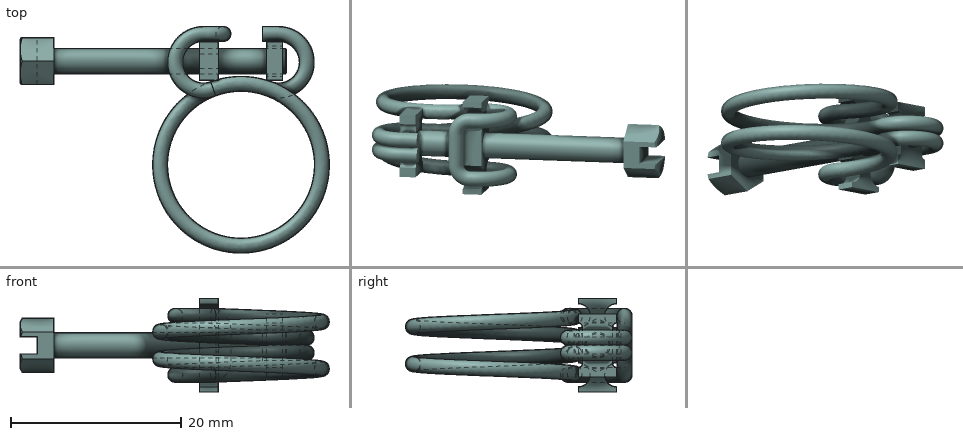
import cadquery as cq
import math


WIRE_RADIUS = 0.88
RING_RADIUS = 9.5
HOOK_RADIUS = 3.32
HOOK_Y = 12.04
INNER_HOOK_Z = 0.89
OUTER_HOOK_Z = 3.47
HOOK_X = math.sqrt((RING_RADIUS + HOOK_RADIUS) ** 2 - HOOK_Y ** 2)
JOINT_ANGLE = math.degrees(math.atan2(HOOK_Y, HOOK_X))
FREE_END_X = 2.5
CROSSBAR_X = -2.07
ELBOW_RADIUS = 1.65

SCREW_Y = 12.17
SHANK_RADIUS = 1.5
HEAD_START_X = -25.94
HEAD_LENGTH = 3.95
SCREW_END_X = 5.36
TIP_CHAMFER = 0.15
HEAD_ACROSS_FLATS = 5.5
HEAD_FACE_RADIUS = HEAD_ACROSS_FLATS / 2
HEAD_CHAMFER_ANGLE = 30
SLOT_WIDTH = 2.0
SLOT_DEPTH = 2.0

BAR_HALF_WIDTH = 2.25
SLIDE_BAR_X = (-4.89, -2.65)
SLIDE_BAR_HALF_HEIGHT = 5.5
SLIDE_NOTCH_RADIUS = 1.4
NUT_BAR_X = (3.0, 4.9)
NUT_BAR_HALF_HEIGHT = 3.7
NUT_NOTCH_HALF_HEIGHT = 2.6
NUT_NOTCH_DEPTH = 0.47


def polar(center, radius, angle, z):
    """Point on a circle that lies level at height z."""
    a = math.radians(angle)
    return cq.Vector(center[0] + radius * math.cos(a), center[1] + radius * math.sin(a), z)


def hook_arc(center_x, start_angle, end_angle, z):
    center = (center_x, HOOK_Y)
    middle_angle = (start_angle + end_angle) / 2
    return cq.Edge.makeThreePointArc(
        polar(center, HOOK_RADIUS, start_angle, z),
        polar(center, HOOK_RADIUS, middle_angle, z),
        polar(center, HOOK_RADIUS, end_angle, z),
    )


def sweep_wire(path, start, direction, is_frenet=True):
    """Round wire along a path; its first section is square to the given direction."""
    section = cq.Workplane(cq.Plane(start, normal=direction)).circle(WIRE_RADIUS)
    return section.sweep(cq.Workplane(path), isFrenet=is_frenet)


def make_coil():
    """Upper ring of just over one turn, with its inner hook and free end."""
    turn = 360 + 180 - 2 * JOINT_ANGLE
    rise = OUTER_HOOK_Z - INNER_HOOK_Z
    helix = cq.Wire.makeHelix(rise * 360 / turn, rise, RING_RADIUS)
    helix = helix.rotate(cq.Vector(0, 0, 0), cq.Vector(0, 0, 1), JOINT_ANGLE)
    helix = helix.translate(cq.Vector(0, 0, INNER_HOOK_Z))
    joint = polar((0, 0), RING_RADIUS, JOINT_ANGLE, INNER_HOOK_Z)
    tangent = polar((0, 0), 1, JOINT_ANGLE + 90, 0)
    ring = sweep_wire(helix, joint, tangent)

    arc = hook_arc(HOOK_X, JOINT_ANGLE - 180, 90, INNER_HOOK_Z)
    free_end = cq.Vector(FREE_END_X, HOOK_Y + HOOK_RADIUS, INNER_HOOK_Z)
    tail = cq.Edge.makeLine(arc.endPoint(), free_end)
    hook = sweep_wire(cq.Wire.assembleEdges([arc, tail]), joint, tangent * -1)
    return ring.union(hook)


def make_end_loop():
    """Both outer hooks and the crossbar that joins them, as one bent wire."""
    top_y = HOOK_Y + HOOK_RADIUS
    elbow_x = CROSSBAR_X - ELBOW_RADIUS
    elbow_z = OUTER_HOOK_Z - ELBOW_RADIUS
    elbow_mid = ELBOW_RADIUS * math.sin(math.radians(45))

    upper_arc = hook_arc(-HOOK_X, 360 - JOINT_ANGLE, 90, OUTER_HOOK_Z)
    lower_arc = hook_arc(-HOOK_X, 90, 360 - JOINT_ANGLE, -OUTER_HOOK_Z)
    upper_elbow = cq.Edge.makeThreePointArc(
        cq.Vector(elbow_x, top_y, OUTER_HOOK_Z),
        cq.Vector(elbow_x + elbow_mid, top_y, elbow_z + elbow_mid),
        cq.Vector(CROSSBAR_X, top_y, elbow_z),
    )
    lower_elbow = cq.Edge.makeThreePointArc(
        cq.Vector(CROSSBAR_X, top_y, -elbow_z),
        cq.Vector(elbow_x + elbow_mid, top_y, -elbow_z - elbow_mid),
        cq.Vector(elbow_x, top_y, -OUTER_HOOK_Z),
    )
    path = cq.Wire.assembleEdges([
        upper_arc,
        cq.Edge.makeLine(upper_arc.endPoint(), upper_elbow.startPoint()),
        upper_elbow,
        cq.Edge.makeLine(upper_elbow.endPoint(), lower_elbow.startPoint()),
        lower_elbow,
        cq.Edge.makeLine(lower_elbow.endPoint(), lower_arc.startPoint()),
        lower_arc,
    ])
    return sweep_wire(path, upper_arc.startPoint(), upper_arc.tangentAt(0), is_frenet=False)


def along_screw(x):
    """Workplane square to the screw at x: local x is +Y, local y is +Z."""
    return cq.Workplane("YZ", origin=(x, SCREW_Y, 0))


def make_screw():
    corner_radius = HEAD_ACROSS_FLATS / math.sqrt(3)
    head_end_x = HEAD_START_X + HEAD_LENGTH
    head = along_screw(HEAD_START_X).polygon(6, 2 * corner_radius).extrude(HEAD_LENGTH)
    head = head.rotate((0, SCREW_Y, 0), (1, SCREW_Y, 0), 90)

    cone_radius = HEAD_FACE_RADIUS + HEAD_LENGTH / math.tan(math.radians(HEAD_CHAMFER_ANGLE))
    cone = cq.Workplane(cq.Solid.makeCone(
        HEAD_FACE_RADIUS, cone_radius, HEAD_LENGTH,
        cq.Vector(HEAD_START_X, SCREW_Y, 0), cq.Vector(1, 0, 0),
    ))
    head = head.intersect(cone)
    slot = along_screw(HEAD_START_X).rect(4 * corner_radius, SLOT_WIDTH).extrude(SLOT_DEPTH)

    shank = along_screw(head_end_x).circle(SHANK_RADIUS).extrude(SCREW_END_X - head_end_x)
    shank = shank.faces(">X").chamfer(TIP_CHAMFER)
    return head.cut(slot).union(shank)


def make_bar(x_range, half_height):
    """Plain upright bar with the screw hole through it."""
    thickness = x_range[1] - x_range[0]
    plane = along_screw(x_range[0])
    bar = plane.rect(2 * BAR_HALF_WIDTH, 2 * half_height).extrude(thickness)
    return bar.cut(plane.circle(SHANK_RADIUS).extrude(thickness))


def make_slide_bar():
    """Bar with a round notch beside each outer hook."""
    bar = make_bar(SLIDE_BAR_X, SLIDE_BAR_HALF_HEIGHT)
    notches = (
        along_screw(SLIDE_BAR_X[0])
        .rect(2 * BAR_HALF_WIDTH, 2 * OUTER_HOOK_Z, forConstruction=True)
        .vertices()
        .circle(SLIDE_NOTCH_RADIUS)
        .extrude(SLIDE_BAR_X[1] - SLIDE_BAR_X[0])
    )
    return bar.cut(notches)


def make_nut_bar():
    """Bar with a rounded notch on each side, spanning both inner hooks."""
    bar = make_bar(NUT_BAR_X, NUT_BAR_HALF_HEIGHT)
    thickness = NUT_BAR_X[1] - NUT_BAR_X[0]
    for side in (1, -1):
        notch = (
            along_screw(NUT_BAR_X[0])
            .center(side * BAR_HALF_WIDTH, 0)
            .slot2D(2 * NUT_NOTCH_HALF_HEIGHT, 2 * NUT_NOTCH_DEPTH, 90)
            .extrude(thickness)
        )
        bar = bar.cut(notch)
    return bar


upper_coil = make_coil()
lower_coil = upper_coil.mirror("XY")
end_loop = make_end_loop()
screw = make_screw()

slide_bar = make_slide_bar().cut(upper_coil).cut(lower_coil)
nut_bar = make_nut_bar().cut(upper_coil).cut(lower_coil)

result = cq.Compound.makeCompound([
    screw.solids().val(),
    slide_bar.solids().val(),
    nut_bar.solids().val(),
    end_loop.solids().val(),
    upper_coil.solids().val(),
    lower_coil.solids().val(),
])